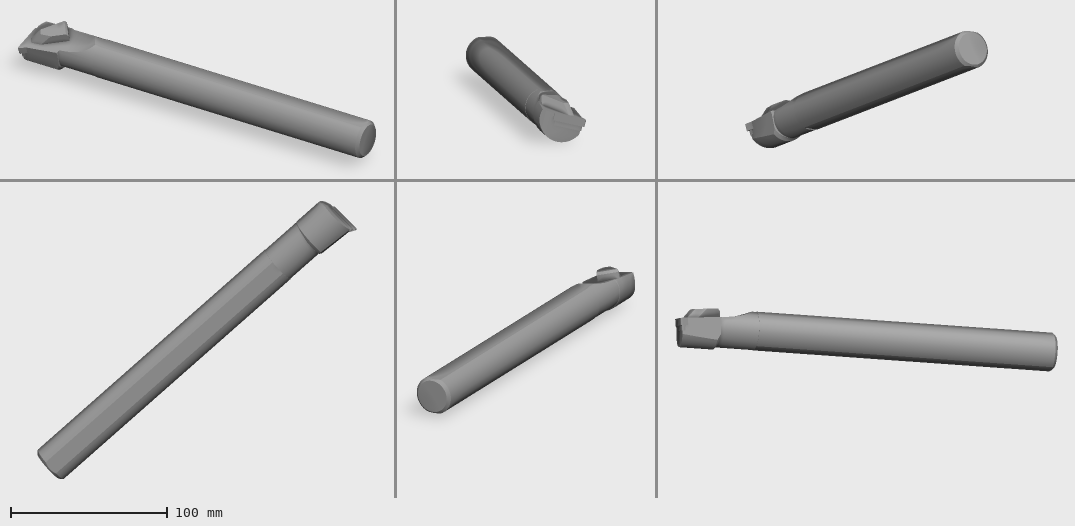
import cadquery as cq
import math


bar_length = 250.0
shank_diameter = 25.0
across_flats = 23.0
shank_start = 53.0
end_chamfer = 2.0
neck_diameter = 24.5

head_diameter = 28.5
head_offset_y = -1.8
head_length = 27.8
head_chamfer = 2.0
side_end_y = 4.2

corner_x = 0.32
corner_y = -16.8
corner_z = 0.2
seat_slope_x = 0.1
seat_slope_y = 0.24
seat_flat_length = 33.0
runout_length = 18.5
runout_radius = 50.0
cut_size = 75.0

insert_side = 22.0
insert_thickness = 4.8
insert_nose_radius = 0.8
insert_edge_angle = 84.7
shim_thickness = 3.2
shim_inset = 0.8

clamp_height = 5.8
nose_slope_run = 7.5
side_bevel_run = 3.5
left_bevel_run = 2.0
back_bevel_run = 1.2
back_wall_height = 4.0

seat = cq.Plane(
    origin=(corner_x, corner_y, corner_z),
    xDir=(1, 0, seat_slope_x),
    normal=(-seat_slope_x, -seat_slope_y, 1),
)


def cylinder_x(diameter, start, end, y=0.0):
    """Cylinder along X between two stations."""
    return cq.Workplane("YZ", origin=(start, y, 0)).circle(diameter / 2).extrude(end - start)


def triangle(side, thickness, top_depth, inset=0.0):
    """Rounded triangular plate below the seat plane, with its sides moved in by the inset."""
    tip_angle = math.radians(insert_edge_angle - 30)
    far_edge = math.radians(insert_edge_angle)
    near_edge = math.radians(insert_edge_angle - 60)
    tip_shift = 2 * inset - insert_nose_radius
    length = side - 2 * math.sqrt(3) * inset
    tip = (tip_shift * math.cos(tip_angle), tip_shift * math.sin(tip_angle))
    corners = [tip] + [
        (tip[0] + length * math.cos(a), tip[1] + length * math.sin(a)) for a in (near_edge, far_edge)
    ]
    plate = cq.Workplane(seat).workplane(offset=-top_depth).polyline(corners).close().extrude(-thickness)
    upright_edges = cq.selectors.ParallelDirSelector(seat.zDir)
    return plate.edges(upright_edges).fillet(insert_nose_radius)


def make_shank():
    """Round shank with flats on +Z and -Z and a chamfered rear end."""
    shank = cylinder_x(shank_diameter, shank_start, bar_length).faces(">X").chamfer(end_chamfer)
    return shank.intersect(
        cq.Workplane("XY").box(2 * bar_length, 2 * shank_diameter, across_flats)
    )


def make_neck():
    """Neck behind the head, kept under the top flat of the shank."""
    neck = cylinder_x(neck_diameter, head_length - head_chamfer, shank_start)
    top_cut = cq.Workplane("XY", origin=(0, 0, across_flats / 2)).rect(2 * bar_length, cut_size)
    return neck.cut(top_cut.extrude(cut_size))


def make_head():
    """Head trimmed by walls square to the seat: front, two back bevels and the flat side."""
    blank = cylinder_x(head_diameter, 0, head_length, head_offset_y).faces(">X").chamfer(head_chamfer)
    front_low = (1.0, 1.8)
    front_high = (2.8, 23.0)
    bevel_middle = (4.0, 26.0)
    bevel_end = (8.0, 31.2)
    rear_low = (cut_size, side_end_y)
    rear_high = (cut_size, bevel_end[1])
    outline = [front_low, front_high, bevel_middle, bevel_end, rear_high, rear_low]
    walls = cq.Workplane(seat).polyline(outline).close().extrude(cut_size / 2, both=True)
    return blank.intersect(walls)


def make_seat_cut():
    """Everything above the seat plane, with a concave runout at the rear."""
    rise = runout_radius - math.sqrt(runout_radius**2 - runout_length**2)
    half = runout_length / 2
    half_rise = runout_radius - math.sqrt(runout_radius**2 - half**2)
    side = cq.Plane(origin=seat.origin.toTuple(), xDir=seat.xDir, normal=-seat.yDir)
    profile = (
        cq.Workplane(side)
        .moveTo(-seat_flat_length, 0)
        .lineTo(seat_flat_length, 0)
        .threePointArc((seat_flat_length + half, half_rise), (seat_flat_length + runout_length, rise))
        .lineTo(seat_flat_length + runout_length, cut_size)
        .lineTo(-seat_flat_length, cut_size)
        .close()
    )
    return profile.extrude(cut_size, both=True)


def clamp_bevel(start, end, run, start_height=0.0):
    """Wedge that bevels the clamp wall from start to end, leaning right of that direction."""
    along = seat.toWorldCoords(end) - seat.toWorldCoords(start)
    inward = along.cross(seat.zDir)
    section = cq.Plane(origin=seat.toWorldCoords(start).toTuple(), xDir=inward, normal=-along)
    slope = (clamp_height - start_height) / run
    profile = [
        (-run, start_height - slope * run),
        (2 * run, start_height + 2 * slope * run),
        (-run, start_height + 2 * slope * run),
    ]
    return cq.Workplane(section).polyline(profile).close().extrude(cut_size, both=True)


def make_clamp():
    """Clamp wedge: sloping nose, bevelled sides and bevelled back edge."""
    nose_left = (3.8, 10.8)
    nose_right = (5.8, 7.0)
    side_corner = (13.2, 7.0)
    back_right = (30.0, 15.5)
    back_left = (22.2, 27.2)
    left_corner = (18.2, 26.0)
    outline = [nose_left, nose_right, side_corner, back_right, back_left, left_corner]
    clamp = cq.Workplane(seat).polyline(outline).close().extrude(clamp_height)
    clamp = clamp.cut(clamp_bevel(nose_right, nose_left, nose_slope_run))
    clamp = clamp.cut(clamp_bevel(side_corner, nose_right, side_bevel_run))
    clamp = clamp.cut(clamp_bevel(nose_left, left_corner, left_bevel_run))
    return clamp.cut(clamp_bevel(back_left, back_right, back_bevel_run, back_wall_height))


def make_insert():
    return triangle(insert_side, insert_thickness, 0)


def make_holder():
    body = make_neck().union(make_head()).union(make_shank()).cut(make_seat_cut())
    shim = triangle(insert_side, shim_thickness, insert_thickness, shim_inset)
    return body.union(shim).union(make_clamp()).cut(make_insert())


holder = make_holder()
insert = make_insert()
result = cq.Compound.makeCompound([holder.val(), insert.val()])